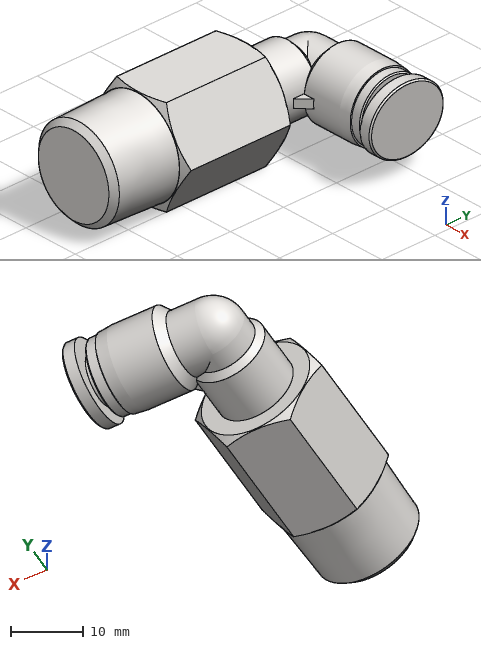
import cadquery as cq
import math


flange_height = 14.0
flange_width = 11.9
flange_start = 18.05
flange_end = 20.1
flange_chamfer = 0.25
collar_neck_diameter = 7.9

total_length = 51.3
barrel_y = total_length - flange_height / 2
hex_flats = 17.45
hex_bottom = 12.0
hex_top = 32.35
hex_face_radius = 8.6
hex_chamfer_angle = 30
thread_top_radius = 8.55
thread_bottom_radius = 8.2
thread_tip_radius = 7.2
thread_chamfer_length = 1.05

neck_radius = 10.0 / 2
post_radius = 12.0 / 2
post_shoulder_top = barrel_y - 3.0
post_shoulder_bottom = post_shoulder_top - (post_radius - neck_radius)
barrel_radius = 12.8 / 2
barrel_cone_start = 4.6
barrel_cone_end = barrel_cone_start + barrel_radius - neck_radius
barrel_taper_start = 13.2
barrel_taper_end = 15.2
barrel_taper_radius = 6.2
barrel_lip_radius = 11.9 / 2
barrel_end = 17.0
barrel_lip_chamfer = 0.2
web_thickness = 1.55
web_leg = 1.95


def revolve_about_x(profile):
    """Revolve (x, radius) points about the X axis."""
    return cq.Workplane("XY").polyline(profile).close().revolve(360, (0, 0), (1, 0))


def revolve_about_y(profile):
    """Revolve (radius, y) points about the Y axis."""
    return cq.Workplane("XY").polyline(profile).close().revolve(360, (0, 0), (0, 1))


def make_hexagon():
    """Hexagon with corners on the X axis, both ends chamfered by a cone."""
    corner_radius = hex_flats / 2 / math.cos(math.pi / 6)
    chamfer_length = (corner_radius - hex_face_radius) * math.tan(math.radians(hex_chamfer_angle))
    hexagon = (
        cq.Workplane("XZ", origin=(0, hex_bottom, 0))
        .polygon(6, 2 * corner_radius)
        .extrude(hex_bottom - hex_top)
    )
    chamfer_envelope = revolve_about_y([
        (0, hex_bottom),
        (hex_face_radius, hex_bottom),
        (corner_radius, hex_bottom + chamfer_length),
        (corner_radius, hex_top - chamfer_length),
        (hex_face_radius, hex_top),
        (0, hex_top),
    ])
    return hexagon.intersect(chamfer_envelope)


def make_stud():
    """Hexagon with a tapered thread blank below it."""
    thread = revolve_about_y([
        (0, 0),
        (thread_tip_radius, 0),
        (thread_bottom_radius, thread_chamfer_length),
        (thread_top_radius, hex_bottom),
        (0, hex_bottom),
    ])
    return make_hexagon().union(thread)


def make_web():
    """Triangular web in the inner corner between post and barrel."""
    corner_x = post_radius
    corner_y = barrel_y - barrel_radius
    return (
        cq.Workplane("XY")
        .moveTo(0, barrel_y)
        .lineTo(corner_x + web_leg + barrel_radius, barrel_y)
        .lineTo(corner_x, corner_y - web_leg)
        .lineTo(0, corner_y - web_leg)
        .close()
        .extrude(web_thickness / 2, both=True)
    )


def make_elbow():
    """Post with a ball top, crossed by the barrel and stiffened by a web."""
    ball_middle = neck_radius * math.sqrt(0.5)
    post = (
        cq.Workplane("XY")
        .moveTo(0, hex_top)
        .lineTo(post_radius, hex_top)
        .lineTo(post_radius, post_shoulder_bottom)
        .lineTo(neck_radius, post_shoulder_top)
        .lineTo(neck_radius, barrel_y)
        .threePointArc((ball_middle, barrel_y + ball_middle), (0, barrel_y + neck_radius))
        .close()
        .revolve(360, (0, 0), (0, 1))
    )
    barrel = revolve_about_x([
        (0, 0),
        (0, neck_radius),
        (barrel_cone_start, neck_radius),
        (barrel_cone_end, barrel_radius),
        (barrel_taper_start, barrel_radius),
        (barrel_taper_end, barrel_taper_radius),
        (barrel_taper_end, barrel_lip_radius),
        (barrel_end - barrel_lip_chamfer, barrel_lip_radius),
        (barrel_end, barrel_lip_radius - barrel_lip_chamfer),
        (barrel_end, 0),
    ]).translate((0, barrel_y, 0))
    return post.union(barrel).union(make_web())


def make_collar():
    """Oval flange on a round neck that meets the barrel end."""
    neck = (
        cq.Workplane("YZ", origin=(barrel_end, barrel_y, 0))
        .circle(collar_neck_diameter / 2)
        .extrude(flange_start - barrel_end)
    )
    flange = (
        cq.Workplane("YZ", origin=(flange_start, barrel_y, 0))
        .ellipse(flange_height / 2, flange_width / 2)
        .extrude(flange_end - flange_start)
        .faces(">X")
        .chamfer(flange_chamfer)
    )
    return neck.union(flange)


stud = make_stud()
elbow = make_elbow()
collar = make_collar()

result = cq.Compound.makeCompound([stud.val(), elbow.val(), collar.val()])